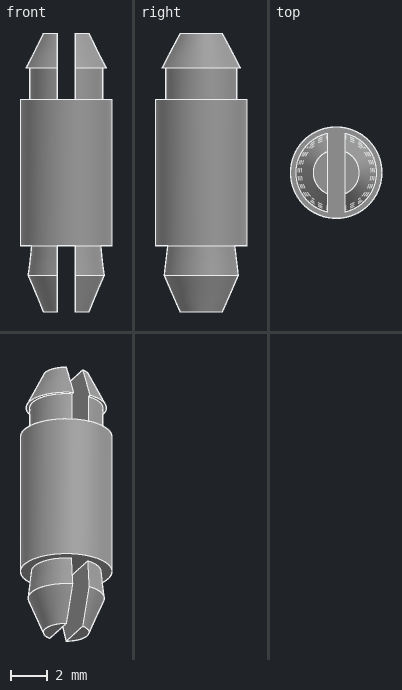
import cadquery as cq

total_length = 15.2
body_diameter = 5.0
body_length = 8.0
slot_width = 0.97
tip_diameter = 2.5

neck_diameter = 4.0
upper_head_diameter = 4.4
upper_head_length = 1.9

lower_neck_diameter = 3.8
lower_head_diameter = 4.16
lower_head_length = 2.0

body_bottom = (total_length - body_length) / 2
body_top = body_bottom + body_length
upper_head_bottom = total_length - upper_head_length


def revolved_spacer():
    """Revolve the radius / height outline about the Z axis."""
    outline = [
        (0, 0),
        (tip_diameter / 2, 0),
        (lower_head_diameter / 2, lower_head_length),
        (lower_neck_diameter / 2, body_bottom),
        (body_diameter / 2, body_bottom),
        (body_diameter / 2, body_top),
        (neck_diameter / 2, body_top),
        (neck_diameter / 2, upper_head_bottom),
        (upper_head_diameter / 2, upper_head_bottom),
        (tip_diameter / 2, total_length),
        (0, total_length),
    ]
    return cq.Workplane("XZ").polyline(outline).close().revolve(360, (0, 0), (0, 1))


def end_slot(bottom, top):
    """Slot cutter running through the part along Y."""
    cutter = cq.Workplane("XY").box(slot_width, body_diameter, top - bottom, centered=(True, True, False))
    return cutter.translate((0, 0, bottom))


result = revolved_spacer()
for bottom, top in ((0, body_bottom), (body_top, total_length)):
    result = result.cut(end_slot(bottom, top))